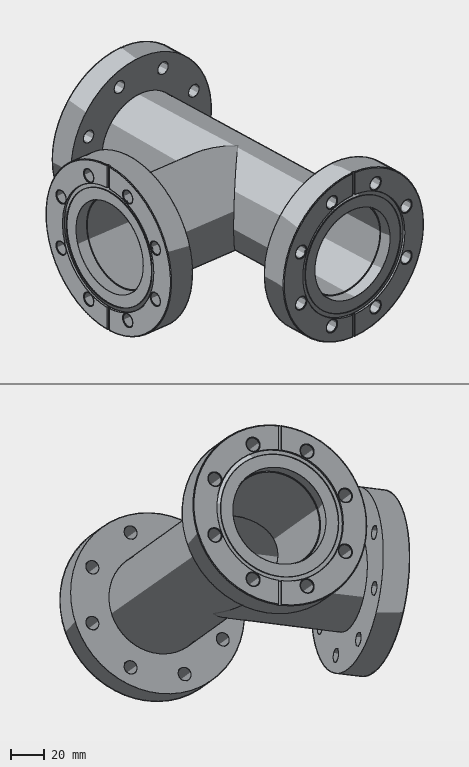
import cadquery as cq
import math

FLANGE_DIAMETER = 113.5
FLANGE_THICKNESS = 17.5
FLANGE_BORE = 60.8
RIM_CHAMFER = 0.5

BOLT_COUNT = 8
BOLT_CIRCLE = 92.1
BOLT_HOLE = 8.4
BOLT_HOLE_CHAMFER = 0.4

RECESS_DIAMETER = 82.5
KNIFE_DIAMETER = 77.0
RECESS_DEPTH = 1.6
KNIFE_SLOPE = 20.0
INNER_FLOOR_DEPTH = 1.2

GROOVE_WIDTH = 2.0
GROOVE_DEPTH = 1.0

TUBE_DIAMETER = 63.5
TUBE_BORE = 59.5
FACE_DISTANCE = 104.8
TUBE_SETBACK = 9.7

KNIFE_HEIGHT = (RECESS_DIAMETER - KNIFE_DIAMETER) / 2 * math.tan(math.radians(KNIFE_SLOPE))
KNIFE_DEPTH = RECESS_DEPTH - KNIFE_HEIGHT
TUBE_REACH = FACE_DISTANCE - TUBE_SETBACK

PORT_DIRECTIONS = [(-1, 0, 0), (1, 0, 0), (0, -1, 0)]


def port_plane(direction, distance):
    """Plane across a port, facing outward, with its local Y along global Z."""
    x, y, z = direction
    origin = (x * distance, y * distance, z * distance)
    return cq.Plane(origin=origin, xDir=(-y, x, 0), normal=direction)


def flange_blank():
    """Turned flange with its sealing face at Z = 0 and its body below."""
    rim = FLANGE_DIAMETER / 2
    recess = RECESS_DIAMETER / 2
    knife = KNIFE_DIAMETER / 2
    bore = FLANGE_BORE / 2
    socket = TUBE_DIAMETER / 2
    section = [
        (socket, -FLANGE_THICKNESS),
        (rim, -FLANGE_THICKNESS),
        (rim, -RIM_CHAMFER),
        (rim - RIM_CHAMFER, 0),
        (recess, 0),
        (recess, -RECESS_DEPTH),
        (knife, -KNIFE_DEPTH),
        (knife, -INNER_FLOOR_DEPTH),
        (bore, -INNER_FLOOR_DEPTH),
        (bore, -TUBE_SETBACK),
        (socket, -TUBE_SETBACK),
    ]
    return cq.Workplane("XZ").polyline(section).close().revolve(360, (0, 0, 0), (0, 1, 0))


def bolt_holes():
    """Cutters for the through holes, flared by a chamfer at the sealing face."""
    hole = BOLT_HOLE / 2
    section = [
        (0, -FLANGE_THICKNESS),
        (hole, -FLANGE_THICKNESS),
        (hole, -BOLT_HOLE_CHAMFER),
        (hole + BOLT_HOLE_CHAMFER, 0),
        (0, 0),
    ]
    cutter = cq.Workplane("XZ").polyline(section).close().revolve(360, (0, 0, 0), (0, 1, 0)).val()
    first_angle = 180 / BOLT_COUNT
    pattern = cq.Workplane("XY").polarArray(BOLT_CIRCLE / 2, first_angle, 360, BOLT_COUNT)
    return pattern.eachpoint(lambda place: cutter.moved(place))


def leak_check_grooves():
    """Two radial grooves, from the recess wall out through the rim."""
    slot = cq.Workplane("XY").rect(GROOVE_WIDTH, FLANGE_DIAMETER).extrude(-GROOVE_DEPTH)
    recess_zone = cq.Workplane("XY").circle(RECESS_DIAMETER / 2).extrude(-GROOVE_DEPTH)
    return slot.cut(recess_zone)


def flange(direction):
    body = flange_blank().cut(bolt_holes()).cut(leak_check_grooves())
    return body.val().moved(port_plane(direction, FACE_DISTANCE).location)


def tee_branches(diameter):
    """Solid rods from the tee centre out to every tube end, joined together."""
    run = cq.Workplane("YZ").circle(diameter / 2).extrude(TUBE_REACH, both=True)
    branch = cq.Workplane("XZ").circle(diameter / 2).extrude(TUBE_REACH)
    return run.union(branch)


tube_tee = tee_branches(TUBE_DIAMETER).cut(tee_branches(TUBE_BORE))
flanges = [flange(direction) for direction in PORT_DIRECTIONS]

result = cq.Compound.makeCompound([tube_tee.val(), *flanges])